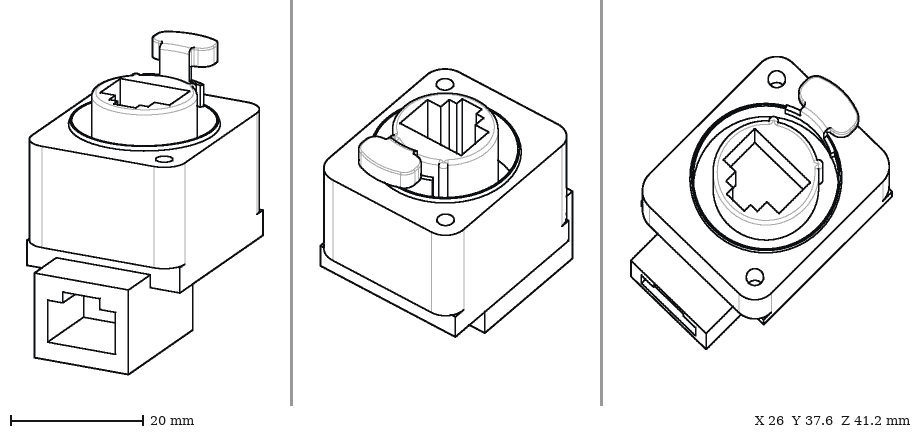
import cadquery as cq
import math


block_width = 26.0
block_length = 31.0
block_height = 16.4
block_corner_radius = 3.5
base_height = 4.1
base_back_y = 14.05
base_front_y = -13.65

screw_hole_diameter = 2.6
screw_hole_depth = 10.0
screw_hole_x = 9.5
screw_hole_y = 12.0

ring_outer_radius = 11.5
ring_top_radius = 11.25
ring_height = 0.65
well_radius = 11.0
well_depth = 8.5

barrel_radius = 8.0
barrel_height = 5.15
barrel_edge_radius = 0.6
rib_radius = 0.7
rib_x = 4.75
rib_y = 6.5

plug_depth = 12.0
plug_width = 11.8
plug_back_y = 3.6
plug_front_y = -3.15
clip_step_width = 6.65
clip_step_y = -5.2
clip_width = 3.75
clip_y = -6.55

jack_width = 16.0
jack_height = 13.7
jack_bottom_z = -32.1
jack_back_y = 0.5
jack_front_y = -21.0
jack_opening_depth = 12.0
jack_opening_width = 11.5
jack_opening_height = 6.8
jack_opening_floor = 2.9
jack_notch_width = 6.3
jack_notch_height = 1.75

latch_outer_radius = 11.0
latch_thickness = 0.7
latch_inner_radius = latch_outer_radius - latch_thickness
wing_half_angle = 28.0
wing_bottom_z = 0.5
wing_top_z = 4.0
arm_width = 5.0
latch_top_z = 9.1
arm_bend_radius = 0.75
pad_thickness = 3.0
pad_bottom_z = latch_top_z - pad_thickness
pad_half_width = 5.1
pad_back_y = 16.58
pad_front_y = 10.9
pad_side_back_y = 14.0
pad_side_front_y = 13.1
pad_corner_radius = 2.0
pad_edge_radius = 0.25
pad_neck_radius = 0.3


def box_between(x_size, y_min, y_max, z_min, z_max):
    """Box centred on X = 0."""
    return (
        cq.Workplane("XY", origin=(0, (y_min + y_max) / 2, z_min))
        .rect(x_size, y_max - y_min)
        .extrude(z_max - z_min)
    )


def cylinder_between(radius, z_min, z_max):
    return cq.Workplane("XY", origin=(0, 0, z_min)).circle(radius).extrude(z_max - z_min)


def make_block():
    base_top_z = -block_height
    block = (
        cq.Workplane("XY", origin=(0, 0, base_top_z))
        .rect(block_width, block_length)
        .extrude(block_height)
        .edges("|Z")
        .fillet(block_corner_radius)
    )
    base = box_between(block_width, base_front_y, base_back_y, base_top_z - base_height, base_top_z)
    return block.union(base)


def make_ring():
    return (
        cq.Workplane("XY")
        .circle(ring_outer_radius)
        .workplane(offset=ring_height)
        .circle(ring_top_radius)
        .loft(ruled=True)
    )


def make_barrel():
    barrel = cylinder_between(barrel_radius, -well_depth, barrel_height)
    for side in (-1, 1):
        rib = (
            cq.Workplane("XY", origin=(side * rib_x, rib_y, -well_depth))
            .circle(rib_radius)
            .extrude(barrel_height + well_depth)
        )
        barrel = barrel.union(rib)
    return barrel.faces(">Z").edges().fillet(barrel_edge_radius)


def make_plug_opening():
    floor_z = barrel_height - plug_depth
    opening = box_between(plug_width, plug_front_y, plug_back_y, floor_z, barrel_height)
    clip_step = box_between(clip_step_width, clip_step_y, plug_front_y, floor_z, barrel_height)
    clip = box_between(clip_width, clip_y, clip_step_y, floor_z, barrel_height)
    return opening.union(clip_step).union(clip)


def make_screw_holes():
    return (
        cq.Workplane("XY")
        .pushPoints([(-screw_hole_x, screw_hole_y), (screw_hole_x, -screw_hole_y)])
        .circle(screw_hole_diameter / 2)
        .extrude(-screw_hole_depth)
    )


def make_jack():
    jack = box_between(jack_width, jack_front_y, jack_back_y, jack_bottom_z, jack_bottom_z + jack_height)
    opening_back_y = jack_front_y + jack_opening_depth
    opening_bottom_z = jack_bottom_z + jack_opening_floor
    opening_top_z = opening_bottom_z + jack_opening_height
    opening = box_between(jack_opening_width, jack_front_y, opening_back_y, opening_bottom_z, opening_top_z)
    notch = box_between(
        jack_notch_width, jack_front_y, opening_back_y, opening_top_z, opening_top_z + jack_notch_height
    )
    return jack.cut(opening).cut(notch)


def make_housing():
    well = cylinder_between(well_radius, -well_depth, ring_height)
    return (
        make_block()
        .union(make_ring())
        .cut(well)
        .union(make_barrel())
        .cut(make_plug_opening())
        .cut(make_screw_holes())
        .union(make_jack())
    )


def make_sheet():
    """Upright curved sheet with radial ends: wings at the bottom, a narrow arm above them."""
    half_angle = math.radians(wing_half_angle)

    def at(radius, angle):
        return (radius * math.sin(angle), radius * math.cos(angle))

    sheet = (
        cq.Workplane("XY", origin=(0, 0, wing_bottom_z))
        .moveTo(*at(latch_outer_radius, -half_angle))
        .threePointArc(at(latch_outer_radius, 0), at(latch_outer_radius, half_angle))
        .lineTo(*at(latch_inner_radius, half_angle))
        .threePointArc(at(latch_inner_radius, 0), at(latch_inner_radius, -half_angle))
        .close()
        .extrude(pad_bottom_z - wing_bottom_z)
    )
    above_wings = box_between(2 * latch_outer_radius, 0, pad_back_y, wing_top_z, pad_bottom_z)
    arm_space = box_between(arm_width, 0, pad_back_y, wing_top_z, pad_bottom_z)
    return sheet.cut(above_wings.cut(arm_space))


def oval_half(side_y, outward, rise):
    """Points along one half of the pad outline, from its -X side to its +X side.

    A wide arc touches both round corners and peaks at the given rise beyond the straight sides.
    """
    corner_x = pad_half_width - pad_corner_radius
    wide_radius = (corner_x**2 + rise**2 - pad_corner_radius**2) / (2 * (rise - pad_corner_radius))
    tangent_angle = math.asin(corner_x / (wide_radius - pad_corner_radius))
    middle_angle = (math.pi / 2 + tangent_angle) / 2
    tangent_x = wide_radius * math.sin(tangent_angle)
    tangent_y = side_y + outward * (rise - wide_radius * (1 - math.cos(tangent_angle)))
    middle_x = corner_x + pad_corner_radius * math.sin(middle_angle)
    middle_y = side_y + outward * pad_corner_radius * math.cos(middle_angle)
    return [
        (-pad_half_width, side_y),
        (-middle_x, middle_y),
        (-tangent_x, tangent_y),
        (0, side_y + outward * rise),
        (tangent_x, tangent_y),
        (middle_x, middle_y),
        (pad_half_width, side_y),
    ]


def make_pad():
    """Oval pad: straight sides, round corners and wide arcs along the back and the front."""
    back = oval_half(pad_side_back_y, 1, pad_back_y - pad_side_back_y)
    front = oval_half(pad_side_front_y, -1, pad_side_front_y - pad_front_y)
    front.reverse()
    outline = cq.Workplane("XY", origin=(0, 0, pad_bottom_z)).moveTo(*front[-1])
    for half in (back, front):
        outline = outline.lineTo(*half[0])
        for middle, end in zip(half[1::2], half[2::2]):
            outline = outline.threePointArc(middle, end)
    return outline.close().extrude(pad_thickness)


def make_head():
    """Pad with a soft rim, joined to the top of the arm by round necks and a round bend."""
    pad = make_pad().faces(">Z").edges().fillet(pad_edge_radius)
    neck = box_between(arm_width, 0, pad_side_front_y, pad_bottom_z, latch_top_z)
    head = pad.union(neck).cut(cylinder_between(latch_inner_radius, pad_bottom_z, latch_top_z))
    neck_half_width = arm_width / 2 + pad_neck_radius
    neck_zone = cq.selectors.BoxSelector(
        (-neck_half_width, latch_inner_radius, pad_bottom_z),
        (neck_half_width, pad_side_front_y, latch_top_z),
    )
    head = head.edges("|Z").edges(neck_zone).fillet(pad_neck_radius)
    return head.faces(">Z").edges("<Y").fillet(arm_bend_radius)


def make_latch():
    return make_head().union(make_sheet())


housing = make_housing()
latch = make_latch()
result = cq.Compound.makeCompound([housing.val(), latch.val()])